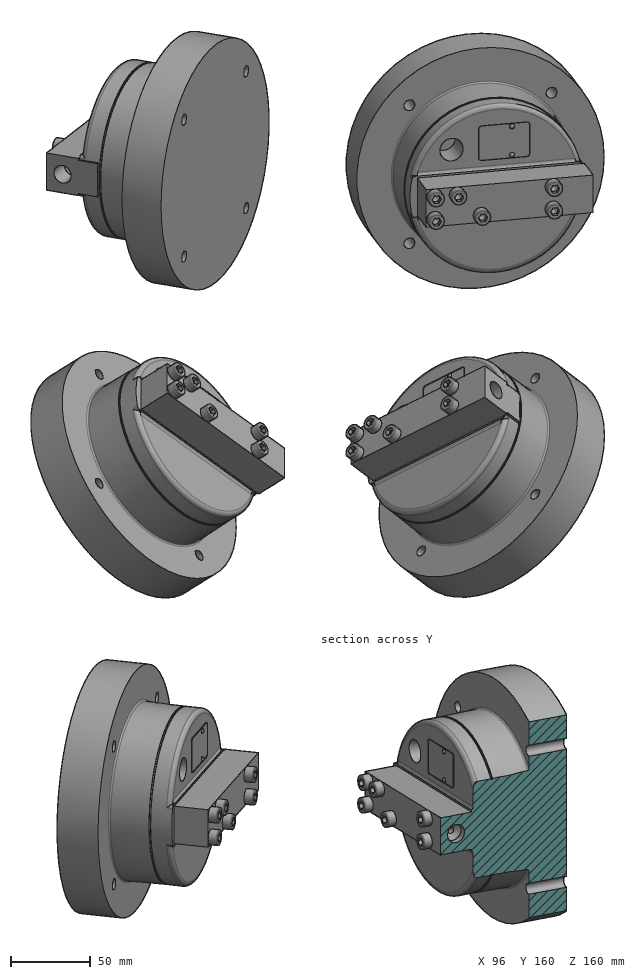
import cadquery as cq
import math


flange_radius = 80.0
flange_thickness = 27.0
bolt_circle_radius = 65.0
bolt_hole_diameter = 7.0
bolt_hole_count = 4

housing_base_radius = 56.7
cover_radius = 56.2
housing_height = 26.0
housing_foot_fillet = 1.0
groove_width = 1.0
groove_depth = 0.4
cover_height = 40.0
cover_fillet = 3.0

ridge_height = 1.0
ridge_foot_half_width = 16.0
ridge_foot_radius = 3.0
ridge_corner_radius = 2.0
ridge_flare = math.sqrt(ridge_foot_radius**2 - (ridge_foot_radius - ridge_height) ** 2)
ridge_half_width = ridge_foot_half_width - ridge_flare
ridge_top = cover_height + ridge_height

block_top = 63.2
block_bottom = 28.0
block_y_min = -56.6
block_y_max = 51.4
block_width = 25.0
block_key_width = 22.3

port_height = 52.0
port_diameter = 11.8
port_depth = 15.0
port_bore_diameter = 4.0
port_bore_depth = 25.0
drill_half_angle = math.radians(59.0)

screw_head_diameter = 10.0
screw_head_height = 5.8
screw_head_rounding = 0.5
socket_across_flats = 5.0
socket_depth = 3.0
screw_row_z = 7.5
upper_screw_y = [46.0, 31.5, -30.5]
lower_screw_y = [46.0, 16.0, -30.5]

cover_hole_diameter = 15.0
cover_hole_offset = 29.0
cover_hole_depth = 20.0

plate_length = 33.0
plate_width = 23.0
plate_thickness = 0.5
plate_corner_radius = 2.0
plate_center_y = -5.0
plate_center_z = 31.6
rivet_radius = 1.6
rivet_height = 1.2
rivet_y = -9.9
rivet_spacing = 19.0


def plane_at(height, y=0.0, z=0.0):
    """Work plane at a height above the flange face: local x is -Y, local y is Z, normal is -X."""
    return cq.Workplane(cq.Plane(origin=(-height, y, z), xDir=(0, -1, 0), normal=(-1, 0, 0)))


def slab(bottom, top, y_min, y_max, width):
    """Box between two heights, centred on Z = 0."""
    center_y = (y_min + y_max) / 2
    return plane_at(bottom, center_y).rect(y_max - y_min, width).extrude(top - bottom)


def make_flange():
    flange = plane_at(-flange_thickness).circle(flange_radius).extrude(flange_thickness)
    holes = (
        plane_at(-flange_thickness)
        .polarArray(bolt_circle_radius, 360 / bolt_hole_count / 2, 360, bolt_hole_count)
        .circle(bolt_hole_diameter / 2)
        .extrude(flange_thickness)
    )
    return flange.cut(holes)


def make_body():
    """Tapered housing, parting groove and rounded cover, revolved about X."""
    groove_radius = cover_radius - groove_depth
    groove_top = housing_height + groove_width
    fillet_mid = cover_fillet * (1 - math.sqrt(0.5))
    foot_mid = housing_foot_fillet * (1 - math.sqrt(0.5))
    return (
        cq.Workplane("XZ")
        .moveTo(0, 0)
        .lineTo(0, housing_base_radius + housing_foot_fillet)
        .threePointArc(
            (-foot_mid, housing_base_radius + foot_mid),
            (-housing_foot_fillet, housing_base_radius),
        )
        .lineTo(-housing_height, cover_radius)
        .lineTo(-housing_height, groove_radius)
        .lineTo(-groove_top, groove_radius)
        .lineTo(-groove_top, cover_radius)
        .lineTo(-(cover_height - cover_fillet), cover_radius)
        .threePointArc(
            (-(cover_height - fillet_mid), cover_radius - fillet_mid),
            (-cover_height, cover_radius - cover_fillet),
        )
        .lineTo(-cover_height, 0)
        .close()
        .revolve(360, (0, 0, 0), (1, 0, 0))
    )


def make_ridge():
    """Flat ridge with rounded ends and a concave foot on each long side."""
    root = cover_height - cover_fillet
    outline = plane_at(root).circle(cover_radius).extrude(ridge_top - root)
    core = outline.intersect(slab(root, ridge_top, -cover_radius, cover_radius, 2 * ridge_half_width))
    core = core.edges("|X").fillet(ridge_corner_radius)

    arc_angle = math.acos(1 - ridge_height / ridge_foot_radius) / 2
    arc_mid_z = ridge_foot_half_width - ridge_foot_radius * math.sin(arc_angle)
    arc_mid_height = cover_height + ridge_foot_radius * (1 - math.cos(arc_angle))
    foot = (
        cq.Workplane("XZ", origin=(0, cover_radius, 0))
        .moveTo(-root, ridge_foot_half_width)
        .lineTo(-cover_height, ridge_foot_half_width)
        .threePointArc((-arc_mid_height, arc_mid_z), (-ridge_top, ridge_half_width))
        .lineTo(-ridge_top, 0)
        .lineTo(-root, 0)
        .close()
        .extrude(2 * cover_radius)
    )
    foot = foot.union(foot.mirror("XY"))
    flat_face = plane_at(root).circle(cover_radius - cover_fillet).extrude(ridge_top - root)
    return core.union(foot.intersect(flat_face))


def make_block():
    """Block on the ridge, with a narrower key below that sinks into the cover."""
    block = slab(ridge_top, block_top, block_y_min, block_y_max, block_width)
    key = slab(block_bottom, ridge_top, block_y_min, block_y_max, block_key_width)
    return block.union(key)


def make_port():
    """Drilled port: wide bore, conical shoulder, then a small bore."""
    port_radius = port_diameter / 2
    bore_radius = port_bore_diameter / 2
    cone_length = (port_radius - bore_radius) / math.tan(drill_half_angle)
    port = (
        cq.Workplane("XY")
        .lineTo(port_radius, 0)
        .lineTo(port_radius, port_depth)
        .lineTo(bore_radius, port_depth + cone_length)
        .lineTo(bore_radius, port_bore_depth)
        .lineTo(0, port_bore_depth)
        .close()
        .revolve(360, (0, 0, 0), (0, 1, 0))
    )
    return port.translate((-port_height, block_y_min, 0))


def make_screw_head(y, z):
    """Cylindrical head with a hexagon socket that ends in a conical bottom."""
    head_top = block_top + screw_head_height
    head = plane_at(block_top, y, z).circle(screw_head_diameter / 2).extrude(screw_head_height)
    head = head.faces("<X").edges().fillet(screw_head_rounding)

    socket_across_corners = socket_across_flats / math.cos(math.pi / 6)
    cone_radius = socket_across_flats / 2
    cone_length = cone_radius / math.tan(drill_half_angle)
    socket_floor = head_top - socket_depth
    socket = plane_at(socket_floor, y, z).polygon(6, socket_across_corners).extrude(socket_depth)
    cone = cq.Solid.makeCone(
        cone_radius, 0, cone_length, pnt=cq.Vector(-socket_floor, y, z), dir=cq.Vector(1, 0, 0)
    )
    return head.cut(socket).cut(cq.Workplane(cone))


def make_nameplate():
    plate = (
        plane_at(cover_height, plate_center_y, plate_center_z)
        .rect(plate_length, plate_width)
        .extrude(plate_thickness)
        .edges("|X")
        .fillet(plate_corner_radius)
    )
    for side in (-1, 1):
        plate = plate.union(make_rivet(rivet_y, plate_center_z + side * rivet_spacing / 2))
    return plate


def make_rivet(y, z):
    """Domed rivet head standing on the nameplate."""
    sphere_radius = (rivet_radius**2 + rivet_height**2) / (2 * rivet_height)
    sphere_height = cover_height + plate_thickness + rivet_height - sphere_radius
    sphere = cq.Workplane("XY").sphere(sphere_radius).translate((-sphere_height, y, z))
    shank = plane_at(cover_height, y, z).circle(rivet_radius).extrude(plate_thickness + rivet_height)
    return sphere.intersect(shank)


def make_cover_hole():
    floor = cover_height - cover_hole_depth
    return (
        plane_at(floor, cover_hole_offset, cover_hole_offset)
        .circle(cover_hole_diameter / 2)
        .extrude(cover_hole_depth)
    )


result = make_flange().union(make_body()).union(make_ridge()).union(make_block())
result = result.cut(make_port()).cut(make_cover_hole())
result = result.union(make_nameplate())
for row_z, row_y in ((screw_row_z, upper_screw_y), (-screw_row_z, lower_screw_y)):
    for screw_y in row_y:
        result = result.union(make_screw_head(screw_y, row_z))